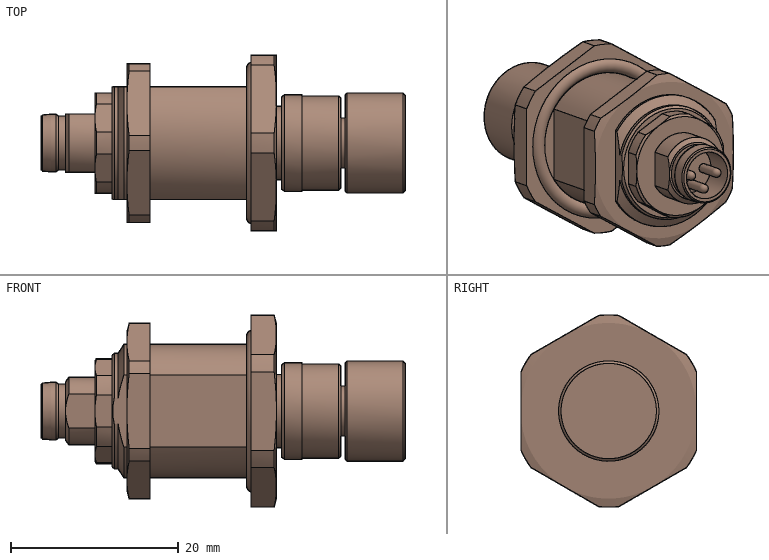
import cadquery as cq
import math


sleeve_diameter = 6.5
sleeve_tip_diameter = 6.75
sleeve_ridge_diameter = 6.92
sleeve_tip_chamfer = 0.17
ridge_start = 1.2
ridge_end = 1.75
ridge_foot = 2.05

cavity_diameter = 5.65
cavity_depth = 4.0
pin_diameter = 1.1
pin_tip_x = 0.25
pin_offset = 1.75

shank_start = 2.9
shank_diameter = 8.1
shank_front_diameter = 7.0
shank_chamfer_length = 0.4
shank_flats = 7.0

small_hex_start = 6.42
small_hex_end = 8.45
small_hex_flats = 12.0
small_hex_diameter = 12.6
small_hex_chamfer_length = 0.18

barrel_start = 8.45
barrel_nose_diameter = 13.3
collar_start = 8.73
collar_diameter = 13.85
cone_start = 9.2
cone_end = 9.87
barrel_diameter = 16.0
barrel_flats = 13.5

lock_nut_start = 10.24
lock_nut_end = 13.0
lock_nut_flats = 19.0
lock_nut_diameter = 21.0

flange_start = 25.04
flange_end = 28.1
flange_flats = 21.0
flange_diameter = 23.0
seal_ring_radius = 8.85
seal_cord_radius = 0.9
seal_ring_x = 25.4

nut_chamfer_angle = math.radians(15)

neck_diameter = 8.8
ring_start = 28.69
ring_front_diameter = 11.0
ring_diameter = 11.6
ring_chamfer_length = 0.4
ring_end = 31.15
coupler_diameter = 11.3
coupler_end = 35.8
rear_chamfer = 0.25
groove_diameter = 6.0
cap_start = 36.3
cap_diameter = 12.0
cap_front_chamfer = 0.25
cap_rear_chamfer = 0.3
total_length = 43.5


def turned(profile):
    """Solid of revolution about X from (x, diameter) pairs, closed along the axis."""
    points = [(x, diameter / 2) for x, diameter in profile]
    first_x = points[0][0]
    last_x = points[-1][0]
    outline = [(first_x, 0)] + points + [(last_x, 0)]
    return cq.Workplane("XY").polyline(outline).close().revolve(360, (0, 0, 0), (1, 0, 0))


def hexagon(start, end, flats):
    """Hexagonal prism along X with flat sides facing +Y and -Y."""
    corner_radius = flats / 2 / math.cos(math.pi / 6)
    corners = []
    for index in range(6):
        angle = math.pi / 2 + index * math.pi / 3
        corners.append((corner_radius * math.cos(angle), corner_radius * math.sin(angle)))
    return cq.Workplane("YZ", origin=(start, 0, 0)).polyline(corners).close().extrude(end - start)


def with_flats(body, flats):
    """Trim a turned body to a width across Y."""
    bounds = body.val().BoundingBox()
    middle_x = (bounds.xmin + bounds.xmax) / 2
    slab = cq.Workplane("XY").box(bounds.xlen, flats, bounds.zlen).translate((middle_x, 0, 0))
    return body.intersect(slab)


def make_sleeve():
    return turned([
        (0, sleeve_tip_diameter - 2 * sleeve_tip_chamfer),
        (sleeve_tip_chamfer, sleeve_tip_diameter),
        (ridge_start, sleeve_ridge_diameter),
        (ridge_end, sleeve_ridge_diameter),
        (ridge_foot, sleeve_diameter),
        (shank_start, sleeve_diameter),
    ])


def make_cavity():
    return cq.Workplane("YZ").circle(cavity_diameter / 2).extrude(cavity_depth)


def make_pins():
    """Three round-nosed contacts standing on the cavity floor."""
    pin_radius = pin_diameter / 2
    ball_x = pin_tip_x + pin_radius
    places = [(-pin_offset, 0), (pin_offset, 0), (0, -pin_offset)]
    pins = cq.Workplane("YZ", origin=(ball_x, 0, 0)).pushPoints(places)
    pins = pins.circle(pin_radius).extrude(cavity_depth + pin_radius - ball_x)
    for y, z in places:
        pins = pins.union(cq.Workplane("XY").sphere(pin_radius).translate((ball_x, y, z)))
    return pins


def make_shank():
    shank = turned([
        (shank_start, shank_front_diameter),
        (shank_start + shank_chamfer_length, shank_diameter),
        (small_hex_start, shank_diameter),
    ])
    return with_flats(shank, shank_flats)


def make_small_hex():
    envelope = turned([
        (small_hex_start, small_hex_flats),
        (small_hex_start + small_hex_chamfer_length, small_hex_diameter),
        (small_hex_end, small_hex_diameter),
    ])
    return hexagon(small_hex_start, small_hex_end, small_hex_flats).intersect(envelope)


def make_barrel():
    barrel = turned([
        (barrel_start, barrel_nose_diameter),
        (collar_start, collar_diameter),
        (cone_start, collar_diameter),
        (cone_end, barrel_diameter),
        (flange_start, barrel_diameter),
    ])
    return with_flats(barrel, barrel_flats)


def make_lock_nut():
    chamfer_length = (lock_nut_diameter - lock_nut_flats) / 2 * math.tan(nut_chamfer_angle)
    envelope = turned([
        (lock_nut_start, lock_nut_flats),
        (lock_nut_start + chamfer_length, lock_nut_diameter),
        (lock_nut_end, lock_nut_diameter),
    ])
    return hexagon(lock_nut_start, lock_nut_end, lock_nut_flats).intersect(envelope)


def make_flange():
    chamfer_length = (flange_diameter - flange_flats) / 2 * math.tan(nut_chamfer_angle)
    envelope = turned([
        (flange_start, flange_diameter),
        (flange_end - chamfer_length, flange_diameter),
        (flange_end, flange_flats),
    ])
    return hexagon(flange_start, flange_end, flange_flats).intersect(envelope)


def make_seal_ring():
    cord = cq.Workplane("XY").center(seal_ring_x, seal_ring_radius).circle(seal_cord_radius)
    return cord.revolve(360, (0, -seal_ring_radius, 0), (1, -seal_ring_radius, 0))


def make_rear():
    return turned([
        (flange_end, neck_diameter),
        (ring_start, neck_diameter),
        (ring_start, ring_front_diameter),
        (ring_start + ring_chamfer_length, ring_diameter),
        (ring_end, ring_diameter),
        (ring_end, coupler_diameter),
        (coupler_end - rear_chamfer, coupler_diameter),
        (coupler_end, coupler_diameter - 2 * rear_chamfer),
        (coupler_end, groove_diameter),
        (cap_start, groove_diameter),
        (cap_start, cap_diameter - 2 * cap_front_chamfer),
        (cap_start + cap_front_chamfer, cap_diameter),
        (total_length - cap_rear_chamfer, cap_diameter),
        (total_length, cap_diameter - 2 * cap_rear_chamfer),
    ])


result = make_sleeve()
result = result.union(make_shank())
result = result.cut(make_cavity())
result = result.union(make_pins())
result = result.union(make_small_hex())
result = result.union(make_barrel())
result = result.union(make_lock_nut())
result = result.union(make_flange())
result = result.union(make_seal_ring())
result = result.union(make_rear())